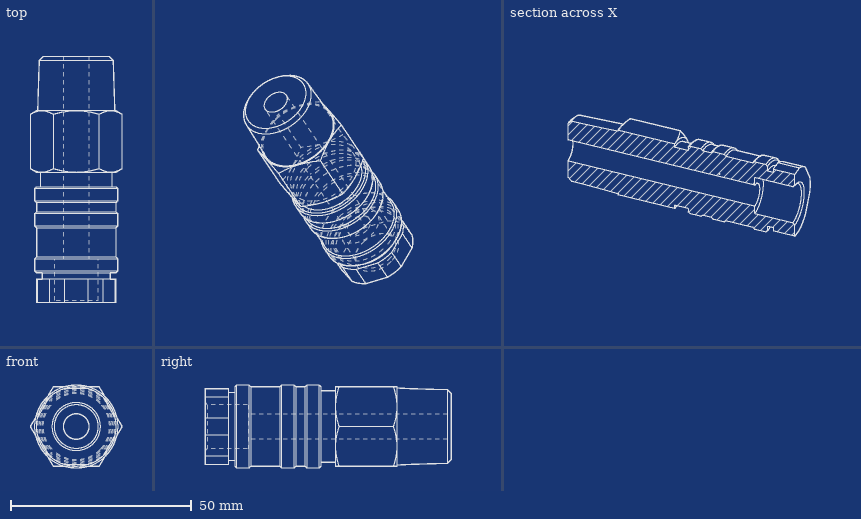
import cadquery as cq
import math

TOTAL_LENGTH = 68.0

NUT_LENGTH = 6.5
NUT_RADIUS = 11.0
NUT_ACROSS_FLATS = 21.0

GROOVE_RADIUS = 9.45
SLEEVE_START = 8.2
SLEEVE_END = 32.0
SLEEVE_RADIUS = 11.0
BAND_RADIUS = 11.5
BAND_WIDTH = 4.4
BAND_CHAMFER = BAND_RADIUS - SLEEVE_RADIUS
SECOND_BAND_START = 20.65
NECK_RADIUS = 9.9

HEX_START = 36.0
HEX_END = 53.0
HEX_ACROSS_FLATS = 22.0
HEX_CHAMFER_ANGLE = 30.0

GAUGE_POSITION = 59.8
GAUGE_RADIUS = 10.4775
DIAMETER_TAPER = 1 / 16
RADIUS_TAPER = DIAMETER_TAPER / 2
TIP_CHAMFER = 1.1

BORE_RADIUS = 3.5
SOCKET_RADIUS = 6.05
SOCKET_DEPTH = 12.0
SOCKET_CHAMFER = 0.6

SIDES = 6


def cylinder(radius, start, end):
    """Solid cylinder along +Y between two axial positions."""
    return cq.Workplane("XZ", origin=(0, start, 0)).circle(radius).extrude(start - end)


def hexagon(across_flats, start, end):
    """Hexagonal prism along Y with corners on the X axis."""
    across_corners = across_flats / math.cos(math.pi / SIDES)
    return cq.Workplane("XZ", origin=(0, start, 0)).polygon(SIDES, across_corners).extrude(start - end)


def revolve_outline(points):
    """Revolve a closed (radius, position) outline about the Y axis."""
    return cq.Workplane("XY").polyline(points).close().revolve(360, (0, 0, 0), (0, 1, 0))


def end_nut():
    flats = hexagon(NUT_ACROSS_FLATS, 0, NUT_LENGTH)
    return cylinder(NUT_RADIUS, 0, NUT_LENGTH).intersect(flats)


def band(start):
    return cylinder(BAND_RADIUS, start, start + BAND_WIDTH).edges().chamfer(BAND_CHAMFER)


def sleeve():
    body = cylinder(GROOVE_RADIUS, NUT_LENGTH, SLEEVE_START)
    body = body.union(cylinder(SLEEVE_RADIUS, SLEEVE_START, SLEEVE_END))
    body = body.union(cylinder(NECK_RADIUS, SLEEVE_END, HEX_START))
    for start in (SLEEVE_START, SECOND_BAND_START, SLEEVE_END - BAND_WIDTH):
        body = body.union(band(start))
    return body


def main_hexagon():
    """Hexagon whose corners are trimmed by a cone at each end."""
    flat_radius = HEX_ACROSS_FLATS / 2
    corner_radius = flat_radius / math.cos(math.pi / SIDES)
    chamfer_length = (corner_radius - flat_radius) * math.tan(math.radians(HEX_CHAMFER_ANGLE))
    envelope = revolve_outline([
        (0, HEX_START),
        (flat_radius, HEX_START),
        (corner_radius, HEX_START + chamfer_length),
        (corner_radius, HEX_END - chamfer_length),
        (flat_radius, HEX_END),
        (0, HEX_END),
    ])
    return hexagon(HEX_ACROSS_FLATS, HEX_START, HEX_END).intersect(envelope)


def taper_radius(position):
    return GAUGE_RADIUS - (position - GAUGE_POSITION) * RADIUS_TAPER


def spigot():
    """Tapered spigot sized at the thread gauge plane, with a chamfered tip."""
    chamfer_start = TOTAL_LENGTH - TIP_CHAMFER
    tip_radius = taper_radius(chamfer_start)
    return revolve_outline([
        (0, HEX_END),
        (taper_radius(HEX_END), HEX_END),
        (tip_radius, chamfer_start),
        (tip_radius - TIP_CHAMFER, TOTAL_LENGTH),
        (0, TOTAL_LENGTH),
    ])


def bores():
    socket = revolve_outline([
        (0, 0),
        (SOCKET_RADIUS + SOCKET_CHAMFER, 0),
        (SOCKET_RADIUS, SOCKET_CHAMFER),
        (SOCKET_RADIUS, SOCKET_DEPTH),
        (0, SOCKET_DEPTH),
    ])
    return socket.union(cylinder(BORE_RADIUS, 0, TOTAL_LENGTH))


result = end_nut().union(sleeve()).union(main_hexagon()).union(spigot()).cut(bores())